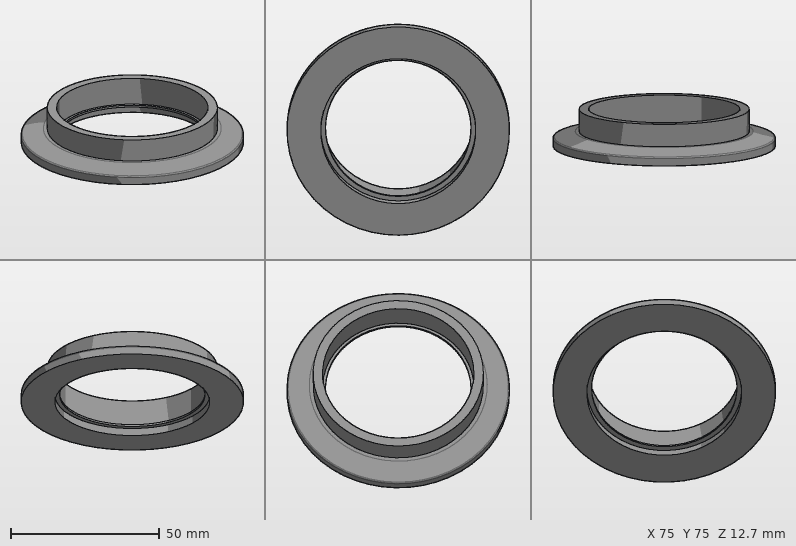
import cadquery as cq
import math

flange_diameter = 75.0
total_height = 12.7

rim_height = 3.0
back_angle = 15.0
edge_radius = 0.5
shoulder_diameter = 60.0

tube_outer_diameter = 57.4
tube_inner_diameter = 51.0
lip_diameter = 49.0
lip_top = 3.3
recess_diameter = 52.2
recess_depth = 2.6

slope_run = (flange_diameter - shoulder_diameter) / 2
shoulder_height = rim_height + slope_run * math.tan(math.radians(back_angle))


def cylinder(diameter, bottom, top):
    """Upright cylinder centred on the Z axis."""
    return cq.Workplane("XY").workplane(offset=bottom).circle(diameter / 2).extrude(top - bottom)


def flange():
    """Solid flange with a conical back and a rounded rim edge."""
    body = (
        cq.Workplane("XZ")
        .lineTo(flange_diameter / 2, 0)
        .lineTo(flange_diameter / 2, rim_height)
        .lineTo(shoulder_diameter / 2, shoulder_height)
        .lineTo(0, shoulder_height)
        .close()
        .revolve(360, (0, 0), (0, 1))
    )
    rim_edges = cq.selectors.BoxSelector(
        (-flange_diameter, -flange_diameter, rim_height - edge_radius),
        (flange_diameter, flange_diameter, rim_height + edge_radius),
    )
    return body.edges("%CIRCLE").edges(rim_edges).fillet(edge_radius)


tube = cylinder(tube_outer_diameter, 0, total_height)
tube_bore = cylinder(tube_inner_diameter, lip_top, total_height)
lip_bore = cylinder(lip_diameter, 0, total_height)
recess = cylinder(recess_diameter, 0, recess_depth)

result = flange().union(tube).cut(tube_bore).cut(lip_bore).cut(recess)